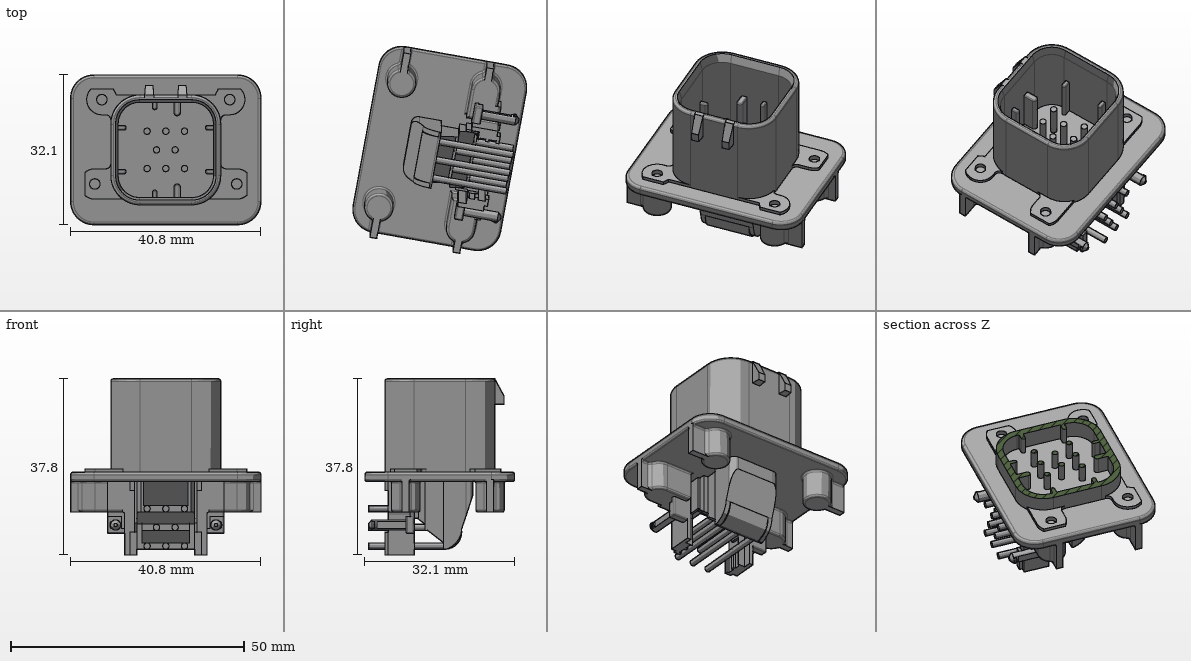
import cadquery as cq

FLANGE_X = 40.8
FLANGE_Y = 32.1
FLANGE_THICKNESS = 2.0
FLANGE_CORNER_RADIUS = 5.0
FLANGE_TOP_FILLET = 0.6
UNDERSIDE_FILLET = 0.4
SLICE_TOLERANCE = 0.01
UNDERSIDE_Z = -FLANGE_THICKNESS

SHELL_SIZE = 23.56
SHELL_HEIGHT = 20.0
SHELL_CORNER_RADIUS = 6.3
SHELL_RIM_FILLET = 0.6
CAVITY_SIZE = 20.4
CAVITY_CORNER_RADIUS = 4.6
LEAD_IN_DEPTH = 1.9
LEAD_IN_OFFSET = 0.55

RIB_TOP_Z = 10.2
RIB_TOP_FILLET = 0.25
NARROW_KEY = (-2.37, 0.95, 1.6)
WIDE_KEY = (2.43, 1.4, 2.9)
SIDE_KEY_WIDTH = 1.0
SIDE_KEY_REACH = 1.7
SIDE_KEY_YS = (4.76, -4.65)

LATCH_X = 3.55
LATCH_ROOT_WIDTH = 1.95
LATCH_TIP_WIDTH = 1.6
LATCH_REACH = 2.0
LATCH_BOTTOM_Z = 14.5
LATCH_RAMP_START_Z = 16.3

REAR_SCREW = (13.7, 10.77)
FRONT_SCREW = (15.2, -7.3)
PAD_HEIGHT = 0.7
PAD_RADIUS = 3.25
REAR_PAD_BACK_Y = 13.1
REAR_PAD_NECK_X = 11.27
REAR_PAD_SHOULDER = (10.66, 11.77)
FRONT_PAD_OUTER_X = 17.35
PAD_ROOT_RADIUS = 1.1
PAD_END_X = 9.0
SCREW_HOLE_DIAMETER = 2.25
SCREW_HOLE_DEPTH = 1.0
BOSS_RADIUS = 3.05
BOSS_BOTTOM_Z = -8.6
BOSS_EDGE_FILLET = 0.5
FIN_THICKNESS = 1.5
FIN_ROOT_RADIUS = 0.9

PIN_DIAMETER = 1.36
PIN_PITCH = 4.0
PIN_TOP_Z = 7.6
TAIL_END_Y = -15.23
TAIL_START_OFFSET = 2.7
UPPER_TAIL_Z = -7.86
OUTER_ROW_XS = (-PIN_PITCH, 0, PIN_PITCH)
MIDDLE_ROW_XS = (-PIN_PITCH / 2, PIN_PITCH / 2)
PIN_ROWS = (
    (UPPER_TAIL_Z, -PIN_PITCH, OUTER_ROW_XS),
    (UPPER_TAIL_Z - PIN_PITCH, 0, MIDDLE_ROW_XS),
    (UPPER_TAIL_Z - 2 * PIN_PITCH, PIN_PITCH, OUTER_ROW_XS),
)

CARRIER_HALF_WIDTH = 6.17
CARRIER_MIDDLE_HALF_WIDTH = 5.1
CARRIER_BACK_Y = 7.08
CARRIER_BACK_CORNER_RADIUS = 1.5
CARRIER_BOTTOM_Z = -16.57
CARRIER_SLOPE_TOP_Z = -5.0
CARRIER_HEEL_TOP = (4.67, -12.3)
CARRIER_HEEL_MID = (3.45, -15.2)
CARRIER_HEEL_BULGE_MID = (3.75, -15.35)
CARRIER_HEEL_END_Y = 1.2
LOWER_STEP_Y = 0.8
MIDDLE_STEP_Y = LOWER_STEP_Y - PIN_PITCH
UPPER_STEP_Y = MIDDLE_STEP_Y - PIN_PITCH
STEP_RAMP_START_Z = -15.17
STEP_RAMP_RISE = 2.65
STEP_FLAT_LENGTH = 0.6
UPPER_STEP_CHAMFER_X = 0.82
UPPER_STEP_CHAMFER_Y = 1.0
GUSSET_HALF_WIDTH = 4.8
GUSSET_BOTTOM_Z = -7.14
GUSSET_TOP_Y = -10.0

LEG_OUTER_X = 8.83
LEG_INNER_X = 6.66
LEG_BACK_Y = -7.18
LEG_RIB_INNER_X = 7.9
PLATE_BACK_Y = -5.47
LEG_FRONT_Y = -11.09
LEG_BOTTOM_Z = -17.8
LEG_WEB_BACK_Y = -4.6
RIDGE_FRONT_Y = -9.55
LOWER_RIDGE_BACK_Y = -8.8
UPPER_RIDGE_BOTTOM_Z = -10.94
LEG_WEB_BOTTOM_Z = -9.9
LIP_FRONT_Y = -SHELL_SIZE / 2
LIP_OUTER_X = 7.69
LOWER_LIP_TOP_Z = -12.87
UPPER_LIP_BOTTOM_Z = -4.0
SHOULDER_OUTER_X = 12.49
SHOULDER_ROOT_FILLET = 0.4

PLATE_FRONT_Y = -6.4
PLATE_BOTTOM_Z = -13.15
PEG_PAD_FRONT_Y = -7.2
PEG_PAD_INNER_X = 9.5
PEG_PAD_TOP_Z = -9.57
PLATE_EDGE_FILLET = 0.25
PAD_FOOT_TOP_Z = -12.05
PEG_X = 10.74
PEG_Z = -11.34
PEG_RADIUS = 1.1
PEG_TIP_RADIUS = 0.36
PEG_TIP_LENGTH = 0.7
PEG_FLAT_X = 0.78
PEG_BARB_RADIUS = 1.25
BARB_START_Y = -13.5
BARB_PEAK_Y = -14.1
BARB_HALF_HEIGHT = 0.75


def span_box(x_range, y_range, z_range):
    """Box between two limits on each axis."""
    x0, x1 = sorted(x_range)
    y0, y1 = sorted(y_range)
    z0, z1 = sorted(z_range)
    return cq.Workplane("XY").box(x1 - x0, y1 - y0, z1 - z0, centered=False).translate((x0, y0, z0))


def side_profile(half_width):
    """YZ sketch plane whose extrusion by 2 * half_width is centred on X = 0."""
    return cq.Workplane("YZ").workplane(offset=-half_width)


def on_both_sides(shape):
    """The shape together with its mirror image across X = 0."""
    return shape.union(shape.mirror("YZ"))


def make_flange():
    """Mounting plate with the four screw bosses blended into its underside."""
    plate = cq.Workplane("XY").workplane(offset=UNDERSIDE_Z).rect(FLANGE_X, FLANGE_Y)
    plate = plate.extrude(FLANGE_THICKNESS).edges("|Z").fillet(FLANGE_CORNER_RADIUS)
    plate = plate.faces(">Z").edges().fillet(FLANGE_TOP_FILLET)
    plate = plate.union(make_boss(REAR_SCREW, REAR_SCREW[0]))
    plate = plate.union(make_boss(FRONT_SCREW, LEG_OUTER_X))
    underside_slice = cq.selectors.BoxSelector(
        (-FLANGE_X, -FLANGE_Y, UNDERSIDE_Z - SLICE_TOLERANCE),
        (FLANGE_X, FLANGE_Y, UNDERSIDE_Z + SLICE_TOLERANCE),
        boundingbox=True,
    )
    plate = plate.edges(underside_slice).fillet(UNDERSIDE_FILLET)
    right_half = span_box((0, FLANGE_X), (-FLANGE_Y, FLANGE_Y), (BOSS_BOTTOM_Z, 0))
    return on_both_sides(plate.intersect(right_half))


def make_shell():
    shell = cq.Workplane("XY").rect(SHELL_SIZE, SHELL_SIZE).extrude(SHELL_HEIGHT)
    shell = shell.edges("|Z").fillet(SHELL_CORNER_RADIUS)
    return shell.faces(">Z").edges().fillet(SHELL_RIM_FILLET)


def make_cavity():
    cavity = cq.Workplane("XY").rect(CAVITY_SIZE, CAVITY_SIZE).extrude(SHELL_HEIGHT)
    cavity = cavity.edges("|Z").fillet(CAVITY_CORNER_RADIUS)
    mouth_size = CAVITY_SIZE + 2 * LEAD_IN_OFFSET
    throat = cq.Sketch().rect(CAVITY_SIZE, CAVITY_SIZE).vertices().fillet(CAVITY_CORNER_RADIUS)
    mouth = cq.Sketch().rect(mouth_size, mouth_size).vertices()
    mouth = mouth.fillet(CAVITY_CORNER_RADIUS + LEAD_IN_OFFSET)
    lead_in = cq.Workplane("XY").workplane(offset=SHELL_HEIGHT - LEAD_IN_DEPTH)
    lead_in = lead_in.placeSketch(throat, mouth.moved(cq.Location(cq.Vector(0, 0, LEAD_IN_DEPTH)))).loft()
    return cavity.union(lead_in)


def make_key(position, width, reach, turn):
    """Round-nosed rib on the -Y cavity wall, turned about Z to the wanted wall."""
    wall_y = -(CAVITY_SIZE + SHELL_SIZE) / 4
    nose_y = -CAVITY_SIZE / 2 + reach
    half = width / 2
    key = (
        cq.Workplane("XY")
        .moveTo(position - half, wall_y)
        .lineTo(position - half, nose_y - half)
        .threePointArc((position, nose_y), (position + half, nose_y - half))
        .lineTo(position + half, wall_y)
        .close()
        .extrude(RIB_TOP_Z)
    ).faces(">Z").edges().fillet(RIB_TOP_FILLET)
    return key.rotate((0, 0, 0), (0, 0, 1), turn)


def make_keys():
    keys = cq.Workplane("XY")
    for position, width, reach in (NARROW_KEY, WIDE_KEY):
        front_key = make_key(position, width, reach, 0)
        keys = keys.union(front_key).union(front_key.mirror("XZ"))
    for y in SIDE_KEY_YS:
        keys = keys.union(on_both_sides(make_key(y, SIDE_KEY_WIDTH, SIDE_KEY_REACH, 90)))
    return keys


def make_latches():
    """Two ramped catches that taper in plan away from the shell."""
    wall_y = SHELL_SIZE / 2
    root_y = wall_y - SHELL_RIM_FILLET
    tip_y = wall_y + LATCH_REACH
    root_half = LATCH_ROOT_WIDTH / 2
    tip_half = LATCH_TIP_WIDTH / 2
    plan = cq.Workplane("XY").workplane(offset=LATCH_BOTTOM_Z).polyline([
        (LATCH_X - root_half, root_y),
        (LATCH_X - root_half, wall_y),
        (LATCH_X - tip_half, tip_y),
        (LATCH_X + tip_half, tip_y),
        (LATCH_X + root_half, wall_y),
        (LATCH_X + root_half, root_y),
    ]).close().extrude(SHELL_HEIGHT - LATCH_BOTTOM_Z)
    ramp = cq.Workplane("YZ").polyline([
        (root_y, LATCH_BOTTOM_Z),
        (tip_y, LATCH_BOTTOM_Z),
        (tip_y, LATCH_RAMP_START_Z),
        (wall_y, SHELL_HEIGHT),
        (root_y, SHELL_HEIGHT),
    ]).close().extrude(2 * LATCH_X)
    return on_both_sides(plan.intersect(ramp))


def make_rear_pad():
    """Raised pad round the rear screw, cut flat at the back and necked towards the shell."""
    screw_x, screw_y = REAR_SCREW
    shell_x = SHELL_SIZE / 2
    front_y = screw_y - PAD_RADIUS
    disc = cq.Workplane("XY").center(screw_x, screw_y).circle(PAD_RADIUS).extrude(PAD_HEIGHT)
    neck = (
        cq.Workplane("XY")
        .moveTo(shell_x + PAD_ROOT_RADIUS, front_y)
        .lineTo(screw_x, front_y)
        .lineTo(screw_x, REAR_PAD_BACK_Y)
        .lineTo(REAR_PAD_NECK_X, REAR_PAD_BACK_Y)
        .lineTo(*REAR_PAD_SHOULDER)
        .lineTo(0, REAR_PAD_SHOULDER[1])
        .lineTo(0, front_y - PAD_ROOT_RADIUS)
        .lineTo(shell_x, front_y - PAD_ROOT_RADIUS)
        .radiusArc((shell_x + PAD_ROOT_RADIUS, front_y), PAD_ROOT_RADIUS)
        .close()
        .extrude(PAD_HEIGHT)
    )
    keep = span_box((0, FLANGE_X), (0, REAR_PAD_BACK_Y), (0, PAD_HEIGHT))
    return disc.union(neck).intersect(keep)


def make_front_pad():
    """Raised pad round the front screw, cut flat on its outer end."""
    screw_x, screw_y = FRONT_SCREW
    shell_x = SHELL_SIZE / 2
    back_y = screw_y + PAD_RADIUS
    disc = cq.Workplane("XY").center(screw_x, screw_y).circle(PAD_RADIUS).extrude(PAD_HEIGHT)
    neck = (
        cq.Workplane("XY")
        .moveTo(shell_x + PAD_ROOT_RADIUS, back_y)
        .lineTo(screw_x, back_y)
        .lineTo(screw_x, screw_y - PAD_RADIUS)
        .lineTo(PAD_END_X, screw_y - PAD_RADIUS)
        .lineTo(PAD_END_X, back_y + PAD_ROOT_RADIUS)
        .lineTo(shell_x, back_y + PAD_ROOT_RADIUS)
        .radiusArc((shell_x + PAD_ROOT_RADIUS, back_y), -PAD_ROOT_RADIUS)
        .close()
        .extrude(PAD_HEIGHT)
    )
    keep = span_box((0, FRONT_PAD_OUTER_X), (-FLANGE_Y, 0), (0, PAD_HEIGHT))
    return disc.union(neck).intersect(keep)


def make_boss(screw, inner_x):
    """Screw boss that runs inwards to inner_x, with a fin out to the flange edge."""
    screw_x, screw_y = screw
    boss_y = (screw_y - BOSS_RADIUS, screw_y + BOSS_RADIUS)
    boss_z = (BOSS_BOTTOM_Z, UNDERSIDE_Z)
    fin_y = (screw_y - FIN_THICKNESS / 2, screw_y + FIN_THICKNESS / 2)
    edge_x = FLANGE_X / 2
    boss = cq.Workplane("XY").workplane(offset=BOSS_BOTTOM_Z).center(screw_x, screw_y)
    boss = boss.circle(BOSS_RADIUS).extrude(UNDERSIDE_Z - BOSS_BOTTOM_Z)
    if inner_x < screw_x:
        boss = boss.union(span_box((inner_x, screw_x), boss_y, boss_z))
    boss = boss.union(span_box((screw_x, edge_x), fin_y, boss_z))
    root_zone = cq.selectors.BoxSelector(
        (screw_x + BOSS_RADIUS / 2, boss_y[0], BOSS_BOTTOM_Z),
        (edge_x - FIN_ROOT_RADIUS, boss_y[1], UNDERSIDE_Z),
    )
    boss = boss.edges(root_zone).edges("|Z").fillet(FIN_ROOT_RADIUS)
    boss = boss.faces("<Z").edges().fillet(BOSS_EDGE_FILLET)
    fin = span_box((screw_x, edge_x), fin_y, (BOSS_BOTTOM_Z, UNDERSIDE_Z + UNDERSIDE_FILLET))
    return boss.union(fin)


def make_screw_holes():
    points = [(side * x, y) for x, y in (REAR_SCREW, FRONT_SCREW) for side in (-1, 1)]
    holes = cq.Workplane("XY").workplane(offset=PAD_HEIGHT).pushPoints(points)
    return holes.circle(SCREW_HOLE_DIAMETER / 2).extrude(-SCREW_HOLE_DEPTH)


def make_step(half_width, back_y, front_y, ramp_start_z):
    """Carrier step whose underside ramps up from back_y to a short flat behind front_y."""
    return side_profile(half_width).polyline([
        (back_y, UNDERSIDE_Z),
        (front_y, UNDERSIDE_Z),
        (front_y, ramp_start_z + STEP_RAMP_RISE),
        (front_y + STEP_FLAT_LENGTH, ramp_start_z + STEP_RAMP_RISE),
        (back_y, ramp_start_z),
    ]).close().extrude(2 * half_width)


def make_carrier_back(half_width, heel_mid):
    """Deep rear part of the carrier, with a sloped back and a round heel through heel_mid."""
    return (
        side_profile(half_width)
        .moveTo(LOWER_STEP_Y, UNDERSIDE_Z)
        .lineTo(CARRIER_BACK_Y, UNDERSIDE_Z)
        .lineTo(CARRIER_BACK_Y, CARRIER_SLOPE_TOP_Z)
        .lineTo(*CARRIER_HEEL_TOP)
        .threePointArc(heel_mid, (CARRIER_HEEL_END_Y, CARRIER_BOTTOM_Z))
        .lineTo(LOWER_STEP_Y, CARRIER_BOTTOM_Z)
        .close()
        .extrude(2 * half_width)
    )


def make_carrier():
    """Three contact steps, with the heel bulging slightly between the carrier sides."""
    rear = make_carrier_back(CARRIER_HALF_WIDTH, CARRIER_HEEL_MID)
    rear = rear.union(make_carrier_back(CARRIER_MIDDLE_HALF_WIDTH, CARRIER_HEEL_BULGE_MID))
    plan = span_box(
        (-CARRIER_HALF_WIDTH, CARRIER_HALF_WIDTH),
        (LOWER_STEP_Y, CARRIER_BACK_Y),
        (CARRIER_BOTTOM_Z, UNDERSIDE_Z),
    ).edges("|Z and >Y").fillet(CARRIER_BACK_CORNER_RADIUS)
    middle = make_step(CARRIER_MIDDLE_HALF_WIDTH, LOWER_STEP_Y, MIDDLE_STEP_Y, STEP_RAMP_START_Z)
    upper = make_step(CARRIER_HALF_WIDTH, MIDDLE_STEP_Y, UPPER_STEP_Y, STEP_RAMP_START_Z + PIN_PITCH)
    chamfer_x = CARRIER_HALF_WIDTH - UPPER_STEP_CHAMFER_X
    upper_plan = cq.Workplane("XY").workplane(offset=CARRIER_BOTTOM_Z).polyline([
        (-CARRIER_HALF_WIDTH, MIDDLE_STEP_Y),
        (CARRIER_HALF_WIDTH, MIDDLE_STEP_Y),
        (CARRIER_HALF_WIDTH, UPPER_STEP_Y + UPPER_STEP_CHAMFER_Y),
        (chamfer_x, UPPER_STEP_Y),
        (-chamfer_x, UPPER_STEP_Y),
        (-CARRIER_HALF_WIDTH, UPPER_STEP_Y + UPPER_STEP_CHAMFER_Y),
    ]).close().extrude(UNDERSIDE_Z - CARRIER_BOTTOM_Z)
    gusset = side_profile(GUSSET_HALF_WIDTH).polyline([
        (UPPER_STEP_Y, UNDERSIDE_Z),
        (UPPER_STEP_Y, GUSSET_BOTTOM_Z),
        (GUSSET_TOP_Y, UNDERSIDE_Z),
    ]).close().extrude(2 * GUSSET_HALF_WIDTH)
    return rear.intersect(plan).union(middle).union(upper.intersect(upper_plan)).union(gusset)


def make_leg():
    """Right-hand board leg, with the shoulder that joins it to the front screw boss."""
    leg_z = (LEG_BOTTOM_Z, UNDERSIDE_Z)
    leg = span_box((LEG_INNER_X, LEG_OUTER_X), (LEG_FRONT_Y, LEG_BACK_Y), leg_z)
    rib = span_box((LEG_RIB_INNER_X, LEG_OUTER_X), (LEG_FRONT_Y, PLATE_BACK_Y), leg_z)
    shoulder = span_box(
        (LEG_OUTER_X, SHOULDER_OUTER_X), (LEG_FRONT_Y, PLATE_BACK_Y), (BOSS_BOTTOM_Z, UNDERSIDE_Z)
    ).edges("<Y and <Z").fillet(BOSS_EDGE_FILLET)
    blend = (
        cq.Workplane("XZ", origin=(0, PLATE_BACK_Y, 0))
        .moveTo(LEG_OUTER_X, BOSS_BOTTOM_Z - SHOULDER_ROOT_FILLET)
        .radiusArc((LEG_OUTER_X + SHOULDER_ROOT_FILLET, BOSS_BOTTOM_Z), SHOULDER_ROOT_FILLET)
        .lineTo(LEG_OUTER_X + SHOULDER_ROOT_FILLET, BOSS_BOTTOM_Z + BOSS_EDGE_FILLET)
        .lineTo(LEG_OUTER_X, BOSS_BOTTOM_Z + BOSS_EDGE_FILLET)
        .close()
        .extrude(PLATE_BACK_Y - LEG_FRONT_Y)
    )
    return leg.union(rib).union(shoulder).union(blend)


def make_leg_details():
    """Lips, ridges and webs on the inner side of the right-hand leg."""
    lip_y = (LIP_FRONT_Y, LEG_FRONT_Y)
    ridge_x = (CARRIER_HALF_WIDTH, LEG_INNER_X)
    lower_z = (LEG_BOTTOM_Z, LOWER_LIP_TOP_Z)
    details = span_box((CARRIER_HALF_WIDTH, LIP_OUTER_X), lip_y, lower_z)
    details = details.union(
        span_box((LEG_INNER_X, LIP_OUTER_X), lip_y, (UPPER_LIP_BOTTOM_Z, UNDERSIDE_Z))
    )
    details = details.union(span_box(ridge_x, (RIDGE_FRONT_Y, LOWER_RIDGE_BACK_Y), lower_z))
    upper_ridge = span_box(ridge_x, (RIDGE_FRONT_Y, LEG_BACK_Y), (UPPER_RIDGE_BOTTOM_Z, UNDERSIDE_Z))
    web = span_box(ridge_x, (LEG_BACK_Y, LEG_WEB_BACK_Y), (LEG_WEB_BOTTOM_Z, UNDERSIDE_Z))
    details = details.union(upper_ridge).union(web)
    ridge_depth = LEG_INNER_X - CARRIER_HALF_WIDTH
    bevel = cq.Workplane("XY").workplane(offset=LEG_BOTTOM_Z).polyline([
        (CARRIER_HALF_WIDTH, LEG_BACK_Y),
        (LEG_INNER_X, LEG_BACK_Y),
        (LEG_INNER_X, LEG_BACK_Y - ridge_depth),
    ]).close().extrude(UPPER_RIDGE_BOTTOM_Z - LEG_BOTTOM_Z)
    return details.union(bevel)


def make_peg():
    """Locating peg on its stepped plate, flattened outside and barbed near the conical tip."""
    plate = span_box(
        (LEG_OUTER_X, SHOULDER_OUTER_X), (PLATE_FRONT_Y, PLATE_BACK_Y), (PLATE_BOTTOM_Z, BOSS_BOTTOM_Z)
    )
    pad = span_box(
        (PEG_PAD_INNER_X, SHOULDER_OUTER_X), (PEG_PAD_FRONT_Y, PLATE_BACK_Y), (PLATE_BOTTOM_Z, PEG_PAD_TOP_Z)
    )
    foot = span_box(
        (LEG_OUTER_X, SHOULDER_OUTER_X), (PEG_PAD_FRONT_Y, PLATE_BACK_Y), (PLATE_BOTTOM_Z, PAD_FOOT_TOP_Z)
    )
    plate = plate.union(pad).union(foot)
    plate = plate.edges("(>X and |Z) or (<Z and |X) or (>X and <Z)").fillet(PLATE_EDGE_FILLET)
    tip_start_y = TAIL_END_Y + PEG_TIP_LENGTH
    peg = cq.Workplane("XY").polyline([
        (0, PLATE_BACK_Y),
        (PEG_RADIUS, PLATE_BACK_Y),
        (PEG_RADIUS, tip_start_y),
        (PEG_TIP_RADIUS, TAIL_END_Y),
        (0, TAIL_END_Y),
    ]).close().revolve(360, (0, 0, 0), (0, 1, 0))
    flat_cut = span_box(
        (PEG_FLAT_X, PEG_BARB_RADIUS), (BARB_START_Y, PEG_PAD_FRONT_Y), (-PEG_RADIUS, PEG_RADIUS)
    )
    barb = cq.Workplane("XY").polyline([
        (0, BARB_START_Y),
        (PEG_FLAT_X, BARB_START_Y),
        (PEG_BARB_RADIUS, BARB_PEAK_Y),
        (PEG_BARB_RADIUS, tip_start_y),
        (0, tip_start_y),
    ]).close().revolve(360, (0, 0, 0), (0, 1, 0))
    barb_zone = span_box(
        (0, PEG_BARB_RADIUS), (TAIL_END_Y, BARB_START_Y), (-BARB_HALF_HEIGHT, BARB_HALF_HEIGHT)
    )
    peg = peg.cut(flat_cut).union(barb.intersect(barb_zone))
    return plate.union(peg.translate((PEG_X, 0, PEG_Z)))


def make_pins():
    """Right-angle contacts: a mating pin above the floor and a solder tail to the front."""
    radius = PIN_DIAMETER / 2
    pins = cq.Workplane("XY")
    for tail_z, pin_y, xs in PIN_ROWS:
        tail_y = pin_y - TAIL_START_OFFSET
        points = [(x, pin_y) for x in xs]
        mating = cq.Workplane("XY").workplane(offset=UNDERSIDE_Z).pushPoints(points)
        mating = mating.circle(radius).extrude(PIN_TOP_Z - UNDERSIDE_Z)
        tail_points = [(x, tail_z) for x in xs]
        tails = cq.Workplane("XZ", origin=(0, tail_y, 0)).pushPoints(tail_points)
        tails = tails.circle(radius).extrude(tail_y - TAIL_END_Y)
        pins = pins.union(mating).union(tails)
    return pins


body = make_flange().union(make_shell()).cut(make_cavity())
body = body.union(make_keys()).union(make_latches())
body = body.union(on_both_sides(make_rear_pad().union(make_front_pad())).cut(make_cavity()))
body = body.union(make_carrier())
body = body.union(on_both_sides(make_leg().union(make_leg_details()).union(make_peg())))
result = body.cut(make_screw_holes()).union(make_pins())